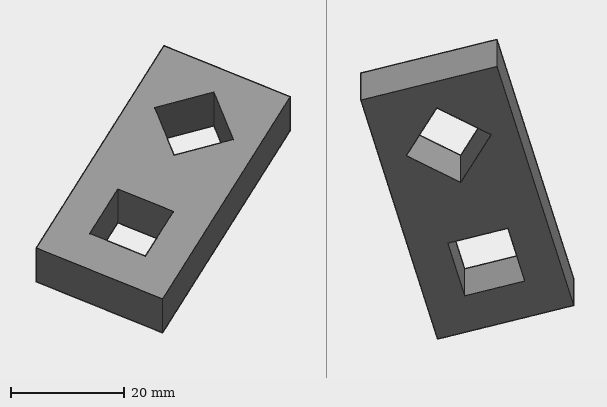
import cadquery as cq

width = 25.0
length = 50.0
height = 10.0

hole_side = 11.0
straight_hole_y = -12.4
diamond_hole_y = 12.05
diamond_angle = 45.0


def square_cutter(center_y, angle):
    """Square prism spanning the block height, turned about its own axis."""
    return (
        cq.Workplane("XY")
        .rect(hole_side, hole_side)
        .extrude(height)
        .rotate((0, 0, 0), (0, 0, 1), angle)
        .translate((0, center_y, 0))
    )


block = cq.Workplane("XY").box(width, length, height, centered=(True, True, False))

result = block
for center_y, angle in ((straight_hole_y, 0.0), (diamond_hole_y, diamond_angle)):
    result = result.cut(square_cutter(center_y, angle))